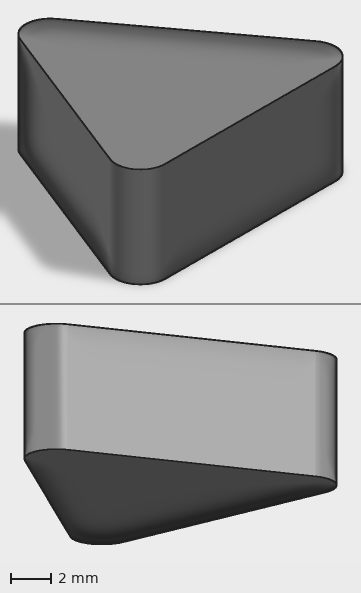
import cadquery as cq
import math

overall_width = 16.36
thickness = 6.55
corner_radius = 1.6

corner_spacing = overall_width - 2 * corner_radius
center_distance = corner_spacing / math.sqrt(3)

result = (
    cq.Workplane("XY")
    .polyline([
        (-corner_spacing / 2, -center_distance / 2),
        (corner_spacing / 2, -center_distance / 2),
        (0, center_distance),
    ])
    .close()
    .offset2D(corner_radius, "arc")
    .extrude(thickness)
)